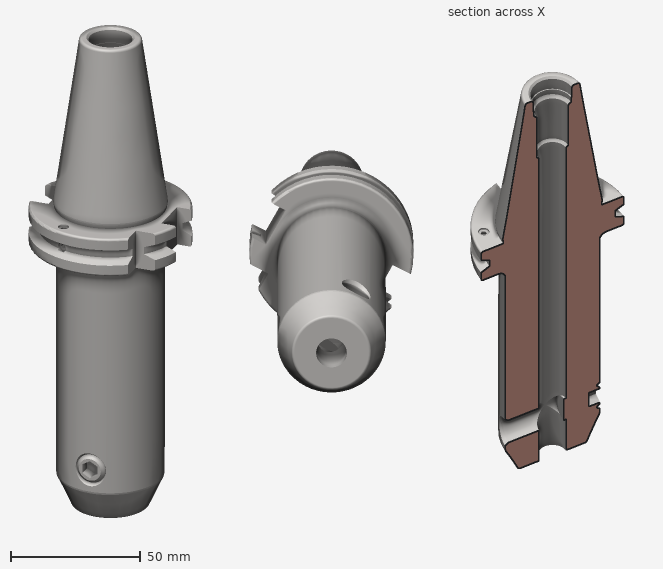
import cadquery as cq
import math


gauge_radius = 22.2
taper_length = 69.5
taper_slope = 7 / 48
taper_end_radius = gauge_radius - taper_slope * taper_length
taper_end_fillet = 1.2
neck_undercut = 0.3
neck_undercut_height = 1.5

flange_radius = 31.7
flange_top = -2.2
flange_bottom = -18.0
flange_fillet = 1.0
groove_center = -10.1
groove_mouth_width = 6.5
groove_floor_width = 3.0
groove_floor_radius = 28.0

overall_length = 198.4
nose_bottom = taper_length - overall_length
body_radius = 21.0
body_root_fillet = 3.0
nose_cone_height = 13.0
nose_end_radius = 15.0
nose_shoulder_fillet = 2.0
nose_end_fillet = 1.2

slot_width = 16.0
left_slot_floor = 22.6
right_slot_floor = 24.6
notch_x = 18.0
notch_y = 18.0
cutter_clearance = 2.0

tool_bore_radius = 6.0
thread_radius = 7.0
thread_depth = 31.7
pilot_radius = 8.5
pilot_depth = 6.2
relief_radius = 8.1
relief_length = 2.5
pilot_chamfer = 0.8

screw_z = -106.1
screw_radius = 6.0
screw_length = 16.0
screw_chamfer = 1.4
screw_hole_chamfer = 1.0
screw_hole_chamfer_depth = 1.5
hex_across_flats = 6.3
hex_depth = 4.8
hex_turn = 30

coolant_pitch_radius = 27.0
coolant_angle = 70.0
top_plug_radius = 2.2
groove_plug_radius = 2.0
groove_plug_z = -10.7
plug_recess = 0.8
plug_hex_across_flats = 2.2
plug_hex_depth = 1.5


def spin(outline):
    """Revolve a half outline in the XZ plane about the Z axis."""
    return outline.revolve(360, (0, 0, 0), (0, 1, 0))


def hexagon_diameter(across_flats):
    """Corner-to-corner size of a hexagon."""
    return across_flats / math.cos(math.pi / 6)


def make_body():
    """Revolve the outer shape of taper, flange and nose."""
    half_mouth = groove_mouth_width / 2
    half_floor = groove_floor_width / 2
    undercut_radius = gauge_radius - neck_undercut
    undercut_top = flange_top + neck_undercut_height
    flange_edge = flange_radius - flange_fillet
    outline = (
        cq.Workplane("XZ")
        .moveTo(0, taper_length)
        .lineTo(taper_end_radius, taper_length)
        .lineTo(gauge_radius, 0)
        .lineTo(gauge_radius, undercut_top)
        .lineTo(undercut_radius, undercut_top)
        .lineTo(undercut_radius, flange_top)
        .lineTo(flange_edge, flange_top)
        .radiusArc((flange_radius, flange_top - flange_fillet), flange_fillet)
        .lineTo(flange_radius, groove_center + half_mouth)
        .lineTo(groove_floor_radius, groove_center + half_floor)
        .lineTo(groove_floor_radius, groove_center - half_floor)
        .lineTo(flange_radius, groove_center - half_mouth)
        .lineTo(flange_radius, flange_bottom + flange_fillet)
        .radiusArc((flange_edge, flange_bottom), flange_fillet)
        .lineTo(body_radius + body_root_fillet, flange_bottom)
        .radiusArc((body_radius, flange_bottom - body_root_fillet), -body_root_fillet)
        .lineTo(body_radius, nose_bottom + nose_cone_height)
        .lineTo(nose_end_radius, nose_bottom)
        .lineTo(0, nose_bottom)
        .close()
    )
    shoulder = cq.selectors.NearestToPointSelector((body_radius, 0, nose_bottom + nose_cone_height))
    body = spin(outline).edges("%CIRCLE").edges(shoulder).fillet(nose_shoulder_fillet)
    body = body.faces("<Z").edges().fillet(nose_end_fillet)
    return body.faces(">Z").edges().fillet(taper_end_fillet)


def flange_cutter(x_start, x_end, y_start, y_end):
    """Block spanning the flange and the root fillet below it, between two corners."""
    width = x_end - x_start
    depth = y_end - y_start
    bottom = flange_bottom - body_root_fillet
    corner = cq.Vector(x_start, y_start, bottom)
    return cq.Workplane(cq.Solid.makeBox(width, depth, flange_top - bottom, corner))


def make_flange_cuts():
    """Two drive slots of unequal depth and the orientation notch."""
    beyond = flange_radius + cutter_clearance
    half_slot = slot_width / 2
    left_slot = flange_cutter(-beyond, -left_slot_floor, -half_slot, half_slot)
    right_slot = flange_cutter(right_slot_floor, beyond, -half_slot, half_slot)
    notch = flange_cutter(notch_x, beyond, -beyond, -notch_y)
    return left_slot.union(right_slot).union(notch)


def make_bores():
    """Through bore for the tool, opened at the top for the pull stud."""
    pilot_floor = taper_length - pilot_depth
    relief_floor = pilot_floor - relief_length
    thread_floor = taper_length - thread_depth
    outline = (
        cq.Workplane("XZ")
        .moveTo(0, nose_bottom)
        .lineTo(tool_bore_radius, nose_bottom)
        .lineTo(tool_bore_radius, thread_floor - (thread_radius - tool_bore_radius))
        .lineTo(thread_radius, thread_floor)
        .lineTo(thread_radius, relief_floor - (relief_radius - thread_radius))
        .lineTo(relief_radius, relief_floor)
        .lineTo(relief_radius, pilot_floor)
        .lineTo(pilot_radius, pilot_floor)
        .lineTo(pilot_radius, taper_length - pilot_chamfer)
        .lineTo(pilot_radius + pilot_chamfer, taper_length)
        .lineTo(0, taper_length)
        .close()
    )
    return spin(outline)


def make_screw_holes():
    """Chamfered cross hole, opening on both the -Y and +Y sides."""
    mouth_radius = screw_radius + screw_hole_chamfer
    hole = (
        cq.Workplane("XZ", origin=(0, body_radius, screw_z))
        .circle(screw_radius)
        .extrude(2 * body_radius)
    )
    for side in (-1, 1):
        mouth = cq.Solid.makeCone(
            mouth_radius,
            screw_radius,
            screw_hole_chamfer_depth,
            cq.Vector(0, side * body_radius, screw_z),
            cq.Vector(0, -side, 0),
        )
        hole = hole.union(cq.Workplane(mouth))
    return hole


def make_screw():
    """Set screw on the -Y side, flush outside and reaching into the tool bore."""
    screw = (
        cq.Workplane("XZ", origin=(0, screw_length - body_radius, screw_z))
        .circle(screw_radius)
        .extrude(screw_length)
        .faces("<Y")
        .chamfer(screw_chamfer)
    )
    socket = (
        cq.Workplane("XZ", origin=(0, hex_depth - body_radius, screw_z))
        .transformed(rotate=(0, 0, hex_turn))
        .polygon(6, hexagon_diameter(hex_across_flats))
        .extrude(hex_depth)
    )
    return screw.cut(socket)


def make_plug_recess(start, direction, radius):
    """Shallow round recess, open outward past its start, with a hexagon socket in its floor."""
    plane = cq.Plane(origin=start, normal=direction)
    hexagon = cq.Workplane(plane).polygon(6, hexagon_diameter(plug_hex_across_flats))
    recess = cq.Workplane(plane).circle(radius).extrude(plug_recess, both=True)
    socket = hexagon.extrude(plug_recess + plug_hex_depth)
    return recess.union(socket)


def make_coolant_holes(part):
    """Two opposite pairs: one in the flange top, one in the groove floor."""
    for angle in (coolant_angle, coolant_angle + 180):
        across = math.cos(math.radians(angle))
        along = math.sin(math.radians(angle))
        top_start = (coolant_pitch_radius * across, coolant_pitch_radius * along, flange_top)
        floor_start = (groove_floor_radius * across, groove_floor_radius * along, groove_plug_z)
        part = part.cut(make_plug_recess(top_start, (0, 0, -1), top_plug_radius))
        part = part.cut(make_plug_recess(floor_start, (-across, -along, 0), groove_plug_radius))
    return part


holder = make_body().cut(make_flange_cuts()).cut(make_bores()).cut(make_screw_holes())
result = make_coolant_holes(holder.union(make_screw()))